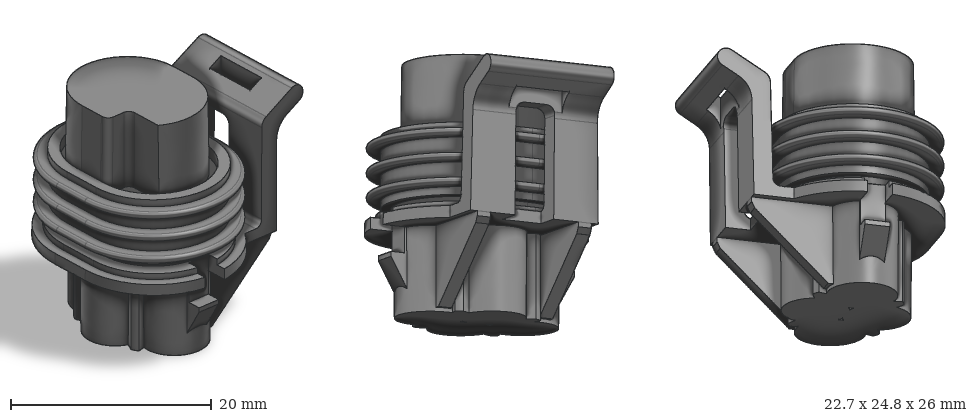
import cadquery as cq
import math

FLANGE_BOTTOM = 8.7
FLANGE_TOP = 9.9
STEP_TOP = 10.57
SEAL_BOTTOM = 11.34
SEAL_TOP = 18.68
SHOULDER_TOP = 17.45
HOUSING_TOP = 26.0

HALF_STRAIGHT = 2.14
FLANGE_HALF_STRAIGHT = 2.25
FLANGE_RADIUS = 9.2
FLANGE_DRAFT = 2.0
STEP_RADIUS = 8.09
NECK_RADIUS = 6.65

BORE_RADIUS = 6.44
SEAL_RADIUS = 7.67
FIN_REACH = 9.11
FIN_TIP_RADIUS = 0.375
FIN_PITCH = 2.515
FIN_COUNT = 3
FIN_MIDDLE = (SEAL_BOTTOM + SEAL_TOP) / 2

PLUG_TOP_RADIUS = 6.07
PLUG_HALF_STRAIGHT = 1.44
PLUG_DRAFT = 0.9
PLUG_HEIGHT = HOUSING_TOP - SHOULDER_TOP
PLUG_BASE_RADIUS = PLUG_TOP_RADIUS + PLUG_HEIGHT * math.tan(math.radians(PLUG_DRAFT))
PLUG_Y = PLUG_BASE_RADIUS - BORE_RADIUS
NOTCH_X = 2.37
NOTCH_Y = -3.38
NOTCH_ROUND = 0.75

SIDE_LOBE_X = 5.27
SIDE_LOBE_RADIUS = 3.65
MIDDLE_LOBE_Y = 3.2
MIDDLE_LOBE_RADIUS = 3.48
LOBE_DRAFT = 0.5
RIB_NOSE_START = (4.88, 4.34)
RIB_NOSE_MIDDLE = (4.5, 4.63)
RIB_NOSE_END = (4.11, 4.75)
RIB_MIDDLE_LOBE_FOOT = (3.0, 4.2)
RIB_SIDE_LOBE_FOOT = (4.6, 3.2)

LATCH_WIDTH = 2.6
LATCH_FACE_X = 8.92
LATCH_TIP_X = 10.45
LATCH_TOP = 6.06
LATCH_LIP = 0.5
LATCH_FOOT_X = 8.3
LATCH_FOOT = 1.9

LEVER_HALF_WIDTH = 7.27
LEVER_TOP_HALF_WIDTH = 7.0
LEVER_BASE_ROOT_Y = 4.0
LEVER_INNER_Y = 9.88
LEVER_INNER_TOP_Y = 10.09
LEVER_OUTER_Y = 11.87
LEVER_OUTER_TOP_Y = 12.06
LEVER_ROOT_ROUND = 0.8
LEVER_INNER_ROUND = 1.2
LEVER_OUTER_ROUND = 2.8
GRIP_TIP_RADIUS = 1.0
GRIP_TIP_Y = 14.6
GRIP_TIP_Z = 23.1
GRIP_ANGLE = math.radians(30)
WINDOW_HALF_WIDTH = 2.2
WINDOW_INNER_Y = 9.28
WINDOW_TOP = 20.2
WINDOW_ROUND = 1.0
GRIP_SLOT_WIDTH = 6.04
GRIP_SLOT_DEPTH = 1.5
GRIP_SLOT_Y = 12.87
GRIP_SLOT_BOTTOM = 18.0

GUSSET_OUTER_X = 6.5
GUSSET_THICKNESS = 1.5
GUSSET_ROOT_Y = 3.0
GUSSET_KNEE_Y = 11.55
GUSSET_KNEE_Z = 7.55
GUSSET_CORNER_Z = 8.2
GUSSET_FOOT_Y = 3.9
GUSSET_FOOT_Z = 0.4


def racetrack(radius, half_straight, bottom, top, draft=0.0, y=0.0):
    """Upright prism with a racetrack outline, long along X."""
    return (
        cq.Workplane("XY", origin=(0, y, bottom))
        .slot2D(2 * (half_straight + radius), 2 * radius)
        .extrude(top - bottom, taper=draft)
    )


def box(x_range, y_range, z_range):
    """Box filling the given ranges along X, Y and Z."""
    ranges = (x_range, y_range, z_range)
    return (
        cq.Workplane("XY")
        .box(*(high - low for low, high in ranges), centered=False)
        .translate(tuple(low for low, high in ranges))
    )


def make_plug():
    """Drafted racetrack plug with the keying notch in its front right corner."""
    plug = racetrack(
        PLUG_BASE_RADIUS, PLUG_HALF_STRAIGHT, SHOULDER_TOP, HOUSING_TOP, PLUG_DRAFT, PLUG_Y
    )
    beyond = 2 * PLUG_BASE_RADIUS
    plug = plug.cut(box((NOTCH_X, beyond), (-beyond, NOTCH_Y), (SHOULDER_TOP, HOUSING_TOP)))
    near = NOTCH_ROUND
    wall_edges = cq.selectors.BoxSelector(
        (NOTCH_X - near, -beyond, SHOULDER_TOP + near),
        (NOTCH_X + near, NOTCH_Y + near, HOUSING_TOP - near),
    )
    return plug.edges(wall_edges).fillet(NOTCH_ROUND)


def make_lobe(x, y, radius):
    """Round lobe hanging from the flange, narrowing downwards."""
    return (
        cq.Workplane("XY", origin=(x, y, FLANGE_BOTTOM))
        .circle(radius)
        .extrude(-FLANGE_BOTTOM, taper=LOBE_DRAFT)
    )


def make_terminal_body():
    """Four lobes joined in the middle, with a rib in each valley."""
    body = make_lobe(SIDE_LOBE_X, 0, SIDE_LOBE_RADIUS)
    body = body.union(make_lobe(-SIDE_LOBE_X, 0, SIDE_LOBE_RADIUS))
    for y in (MIDDLE_LOBE_Y, -MIDDLE_LOBE_Y):
        body = body.union(make_lobe(0, y, MIDDLE_LOBE_RADIUS))
    rib = (
        cq.Workplane("XY")
        .moveTo(0, 0)
        .lineTo(*RIB_SIDE_LOBE_FOOT)
        .lineTo(*RIB_NOSE_START)
        .threePointArc(RIB_NOSE_MIDDLE, RIB_NOSE_END)
        .lineTo(*RIB_MIDDLE_LOBE_FOOT)
        .close()
        .extrude(FLANGE_BOTTOM)
    )
    ribs = rib.union(rib.mirror("YZ"))
    return body.union(ribs).union(ribs.mirror("XZ"))


def make_latch(side):
    """Pad from the step down to a ramped catch, on the side of the given sign."""
    return (
        cq.Workplane("XZ", origin=(0, LATCH_WIDTH / 2, 0))
        .moveTo(side * SIDE_LOBE_X, STEP_TOP)
        .lineTo(side * LATCH_FACE_X, STEP_TOP)
        .lineTo(side * LATCH_FACE_X, LATCH_TOP)
        .lineTo(side * LATCH_TIP_X, LATCH_TOP)
        .lineTo(side * LATCH_TIP_X, LATCH_TOP - LATCH_LIP)
        .lineTo(side * LATCH_FOOT_X, LATCH_FOOT)
        .lineTo(side * SIDE_LOBE_X, LATCH_FOOT)
        .close()
        .extrude(LATCH_WIDTH)
    )


def make_lever():
    """Bent lever on a base plate, narrowing upwards, with a window and a grip slot."""
    along_y, along_z = math.cos(GRIP_ANGLE), math.sin(GRIP_ANGLE)
    tip_upper_y = GRIP_TIP_Y - GRIP_TIP_RADIUS * along_z
    tip_upper_z = GRIP_TIP_Z + GRIP_TIP_RADIUS * along_y
    tip_lower = (GRIP_TIP_Y + GRIP_TIP_RADIUS * along_z, GRIP_TIP_Z - GRIP_TIP_RADIUS * along_y)
    tip_end = (GRIP_TIP_Y + GRIP_TIP_RADIUS * along_y, GRIP_TIP_Z + GRIP_TIP_RADIUS * along_z)
    slope = math.tan(GRIP_ANGLE)
    inner_bend_z = tip_upper_z - (tip_upper_y - LEVER_INNER_TOP_Y) * slope
    outer_bend_z = tip_lower[1] - (tip_lower[0] - LEVER_OUTER_TOP_Y) * slope
    lever = (
        cq.Workplane("YZ", origin=(-LEVER_HALF_WIDTH, 0, 0))
        .moveTo(LEVER_BASE_ROOT_Y, FLANGE_BOTTOM)
        .lineTo(LEVER_OUTER_Y, FLANGE_BOTTOM)
        .lineTo(LEVER_OUTER_TOP_Y, outer_bend_z)
        .lineTo(*tip_lower)
        .threePointArc(tip_end, (tip_upper_y, tip_upper_z))
        .lineTo(LEVER_INNER_TOP_Y, inner_bend_z)
        .lineTo(LEVER_INNER_Y, FLANGE_TOP)
        .lineTo(LEVER_BASE_ROOT_Y, FLANGE_TOP)
        .close()
        .extrude(2 * LEVER_HALF_WIDTH)
    )
    bends = (
        (LEVER_OUTER_TOP_Y, outer_bend_z, LEVER_OUTER_ROUND),
        (LEVER_INNER_TOP_Y, inner_bend_z, LEVER_INNER_ROUND),
        (LEVER_INNER_Y, FLANGE_TOP, LEVER_ROOT_ROUND),
    )
    for y, z, radius in bends:
        lever = lever.edges(cq.selectors.NearestToPointSelector((0, y, z))).fillet(radius)

    tip_top = GRIP_TIP_Z + GRIP_TIP_RADIUS
    narrowing = (
        cq.Workplane("XZ")
        .moveTo(-LEVER_HALF_WIDTH, FLANGE_BOTTOM)
        .lineTo(LEVER_HALF_WIDTH, FLANGE_BOTTOM)
        .lineTo(LEVER_TOP_HALF_WIDTH, tip_top)
        .lineTo(-LEVER_TOP_HALF_WIDTH, tip_top)
        .close()
        .extrude(-(GRIP_TIP_Y + GRIP_TIP_RADIUS))
    )
    window = box(
        (-WINDOW_HALF_WIDTH, WINDOW_HALF_WIDTH),
        (WINDOW_INNER_Y, LEVER_OUTER_TOP_Y + GRIP_TIP_RADIUS),
        (FLANGE_BOTTOM, WINDOW_TOP),
    )
    window = window.edges("|Y and >Z").fillet(WINDOW_ROUND)
    grip_slot = (
        cq.Workplane("XY", origin=(0, GRIP_SLOT_Y, GRIP_SLOT_BOTTOM))
        .rect(GRIP_SLOT_WIDTH, GRIP_SLOT_DEPTH)
        .extrude(HOUSING_TOP - GRIP_SLOT_BOTTOM)
    )
    return lever.intersect(narrowing).cut(window).cut(grip_slot)


def make_gusset():
    """Triangular web bracing the lever base, inset from its -X side."""
    return (
        cq.Workplane("YZ", origin=(-GUSSET_OUTER_X, 0, 0))
        .moveTo(GUSSET_ROOT_Y, FLANGE_BOTTOM)
        .lineTo(LEVER_OUTER_Y, FLANGE_BOTTOM)
        .lineTo(LEVER_OUTER_Y, GUSSET_CORNER_Z)
        .lineTo(GUSSET_KNEE_Y, GUSSET_KNEE_Z)
        .lineTo(GUSSET_FOOT_Y, GUSSET_FOOT_Z)
        .lineTo(GUSSET_ROOT_Y, GUSSET_FOOT_Z)
        .close()
        .extrude(GUSSET_THICKNESS)
    )


def make_housing():
    """Plug, core, flange, terminal body, latches and lever as one moulding."""
    flange = racetrack(
        FLANGE_RADIUS, FLANGE_HALF_STRAIGHT, FLANGE_BOTTOM, FLANGE_TOP, FLANGE_DRAFT
    )
    housing = flange.union(racetrack(STEP_RADIUS, FLANGE_HALF_STRAIGHT, FLANGE_TOP, STEP_TOP))
    for side in (-1, 1):
        inner, outer = sorted((side * LATCH_FACE_X, side * 2 * FLANGE_RADIUS))
        slot = box(
            (inner, outer), (-LATCH_WIDTH / 2, LATCH_WIDTH / 2), (FLANGE_BOTTOM, STEP_TOP)
        )
        housing = housing.cut(slot)
    housing = housing.union(racetrack(NECK_RADIUS, HALF_STRAIGHT, STEP_TOP, SEAL_BOTTOM))
    housing = housing.union(racetrack(BORE_RADIUS, HALF_STRAIGHT, SEAL_BOTTOM, SHOULDER_TOP))
    housing = housing.union(make_plug()).union(make_terminal_body())
    for side in (-1, 1):
        housing = housing.union(make_latch(side))
    gusset = make_gusset()
    return housing.union(make_lever()).union(gusset).union(gusset.mirror("YZ"))


def make_seal():
    """Racetrack sleeve with round-tipped fins: one wall section swept around the bore."""
    bore_path = (
        cq.Workplane("XY", origin=(0, 0, SEAL_BOTTOM))
        .moveTo(0, -BORE_RADIUS)
        .lineTo(HALF_STRAIGHT, -BORE_RADIUS)
        .threePointArc((HALF_STRAIGHT + BORE_RADIUS, 0), (HALF_STRAIGHT, BORE_RADIUS))
        .lineTo(-HALF_STRAIGHT, BORE_RADIUS)
        .threePointArc((-HALF_STRAIGHT - BORE_RADIUS, 0), (-HALF_STRAIGHT, -BORE_RADIUS))
        .close()
    )
    section = (
        cq.Workplane("YZ")
        .moveTo(-BORE_RADIUS, SEAL_BOTTOM)
        .lineTo(-SEAL_RADIUS, SEAL_BOTTOM)
    )
    fin_flat_end = FIN_REACH - FIN_TIP_RADIUS
    for index in range(FIN_COUNT):
        middle = FIN_MIDDLE + (index - (FIN_COUNT - 1) / 2) * FIN_PITCH
        low = middle - FIN_TIP_RADIUS
        high = middle + FIN_TIP_RADIUS
        section = (
            section.lineTo(-SEAL_RADIUS, low)
            .lineTo(-fin_flat_end, low)
            .threePointArc((-FIN_REACH, middle), (-fin_flat_end, high))
            .lineTo(-SEAL_RADIUS, high)
        )
    section = section.lineTo(-SEAL_RADIUS, SEAL_TOP).lineTo(-BORE_RADIUS, SEAL_TOP).close()
    return section.sweep(bore_path)


housing = make_housing()
seal = make_seal()

result = cq.Compound.makeCompound([housing.val(), seal.val()])